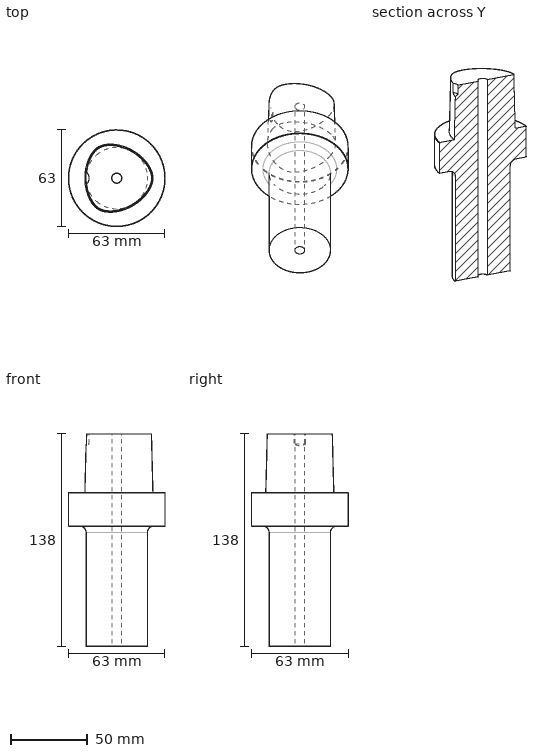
import cadquery as cq
import math

polygon_height = 38.0
flange_height = 22.0
stem_height = 78.0

polygon_base_diameter = 44.35
polygon_taper = 1 / 20
polygon_top_diameter = polygon_base_diameter - polygon_taper * polygon_height
lobe_eccentricity = 1.4
lobe_count = 3
curve_points = 72

flange_diameter = 63.0
flange_chamfer = 0.3
stem_diameter = 40.0
neck_fillet_radius = 4.0

bore_diameter = 6.4

notch_radius = 5.0
notch_bite = 1.9
notch_depth = 6.5
notch_tip_angle = 120.0
notch_cone_height = notch_radius / math.tan(math.radians(notch_tip_angle / 2))


def polygon_point(diameter, angle):
    """Point of the lobed curve whose normal points along the given angle."""
    phase = lobe_count * angle
    reach = diameter / 2 + lobe_eccentricity * math.cos(phase)
    slide = -lobe_count * lobe_eccentricity * math.sin(phase)
    x = reach * math.cos(angle) - slide * math.sin(angle)
    y = reach * math.sin(angle) + slide * math.cos(angle)
    return x, y


def polygon_wire(diameter, z):
    """Closed smooth lobed outline at height z, starting on the -X flank."""
    angles = [math.pi + 2 * math.pi * i / curve_points for i in range(curve_points)]
    points = [cq.Vector(*polygon_point(diameter, angle), z) for angle in angles]
    return cq.Wire.assembleEdges([cq.Edge.makeSpline(points, periodic=True)])


def make_polygon_shank():
    base = polygon_wire(polygon_base_diameter, 0)
    top = polygon_wire(polygon_top_diameter, polygon_height)
    return cq.Workplane(cq.Solid.makeLoft([base, top], True))


def make_flange():
    flange = cq.Workplane("XY").circle(flange_diameter / 2).extrude(-flange_height)
    return flange.edges().chamfer(flange_chamfer)


def make_stem():
    """Plain round stem with a concave fillet running out into the flange."""
    stem_radius = stem_diameter / 2
    fillet_outer = stem_radius + neck_fillet_radius
    flange_bottom = -flange_height
    stem_bottom = flange_bottom - stem_height
    mid_offset = neck_fillet_radius * (1 - math.sqrt(0.5))
    profile = (
        cq.Workplane("XZ")
        .moveTo(0, stem_bottom)
        .lineTo(stem_radius, stem_bottom)
        .lineTo(stem_radius, flange_bottom - neck_fillet_radius)
        .threePointArc(
            (stem_radius + mid_offset, flange_bottom - mid_offset),
            (fillet_outer, flange_bottom),
        )
        .lineTo(0, flange_bottom)
        .close()
    )
    return profile.revolve(360, (0, 0, 0), (0, 1, 0))


def make_notch_cutter():
    flank_x = polygon_point(polygon_top_diameter, math.pi)[0]
    axis_x = flank_x + notch_bite - notch_radius
    rim_z = polygon_height - notch_depth
    profile = (
        cq.Workplane("XZ", origin=(axis_x, 0, 0))
        .moveTo(0, polygon_height)
        .lineTo(notch_radius, polygon_height)
        .lineTo(notch_radius, rim_z)
        .lineTo(0, rim_z - notch_cone_height)
        .close()
    )
    return profile.revolve(360, (0, 0, 0), (0, 1, 0))


def make_bore_cutter():
    length = polygon_height + flange_height + stem_height
    bore = cq.Workplane("XY", origin=(0, 0, polygon_height))
    return bore.circle(bore_diameter / 2).extrude(-length)


body = make_flange().union(make_polygon_shank()).union(make_stem())
result = body.cut(make_notch_cutter()).cut(make_bore_cutter())